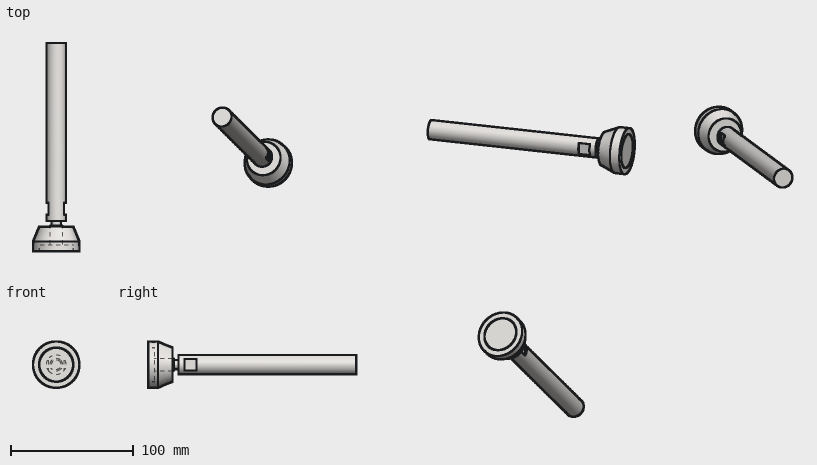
import cadquery as cq

total_length = 170.0
foot_diameter = 38.0
foot_shoulder_diameter = 37.9
foot_top_diameter = 28.0
foot_shoulder_height = 8.2
foot_height = 20.0

plate_diameter = 27.5
plate_recess_diameter = 28.0
plate_thickness = 5.1

rod_diameter = 16.0
rod_start = 24.6
neck_diameter = 7.8
collar_diameter = 10.2
neck_fillet_radius = (collar_diameter - neck_diameter) / 2

flat_start = 30.0
flat_length = 9.5
across_flats = 13.0


def cylinder(diameter, start, end):
    """Round bar along Y between two positions."""
    bar = cq.Workplane("XZ", origin=(0, start, 0)).circle(diameter / 2)
    return bar.extrude(start - end)


def make_foot():
    """Tapered foot with a through bore and a recess for the spindle's plate."""
    profile = (
        cq.Workplane("XY")
        .lineTo(foot_diameter / 2, 0)
        .lineTo(foot_shoulder_diameter / 2, foot_shoulder_height)
        .lineTo(foot_top_diameter / 2, foot_height)
        .lineTo(0, foot_height)
        .close()
    )
    body = profile.revolve(360, (0, 0, 0), (0, 1, 0))
    plate_recess = cylinder(plate_recess_diameter, 0, plate_thickness)
    collar_bore = cylinder(collar_diameter, 0, foot_height)
    return body.cut(plate_recess).cut(collar_bore)


def cut_wrench_flats(rod):
    """Cut two opposite flats facing -X and +X."""
    cut_depth = (rod_diameter - across_flats) / 2
    cutter_center = (across_flats + cut_depth) / 2
    for side in (-1, 1):
        cutter = cq.Workplane("XY").box(cut_depth, flat_length, rod_diameter).translate(
            (side * cutter_center, flat_start + flat_length / 2, 0)
        )
        rod = rod.cut(cutter)
    return rod


def make_neck():
    """Neck that widens to the collar diameter through a concave fillet."""
    neck_radius = neck_diameter / 2
    collar_radius = collar_diameter / 2
    fillet_top = foot_height + neck_fillet_radius
    profile = (
        cq.Workplane("XY")
        .moveTo(0, foot_height)
        .lineTo(collar_radius, foot_height)
        .radiusArc((neck_radius, fillet_top), -neck_fillet_radius)
        .lineTo(neck_radius, rod_start)
        .lineTo(0, rod_start)
        .close()
    )
    return profile.revolve(360, (0, 0, 0), (0, 1, 0))


def make_spindle():
    """Rod with wrench flats, a thin neck, a collar and an end plate."""
    rod = cut_wrench_flats(cylinder(rod_diameter, rod_start, total_length))
    collar = cylinder(collar_diameter, 0, foot_height)
    plate = cylinder(plate_diameter, 0, plate_thickness)
    return rod.union(make_neck()).union(collar).union(plate)


foot = make_foot()
spindle = make_spindle()

result = cq.Compound.makeCompound([foot.val(), spindle.val()])